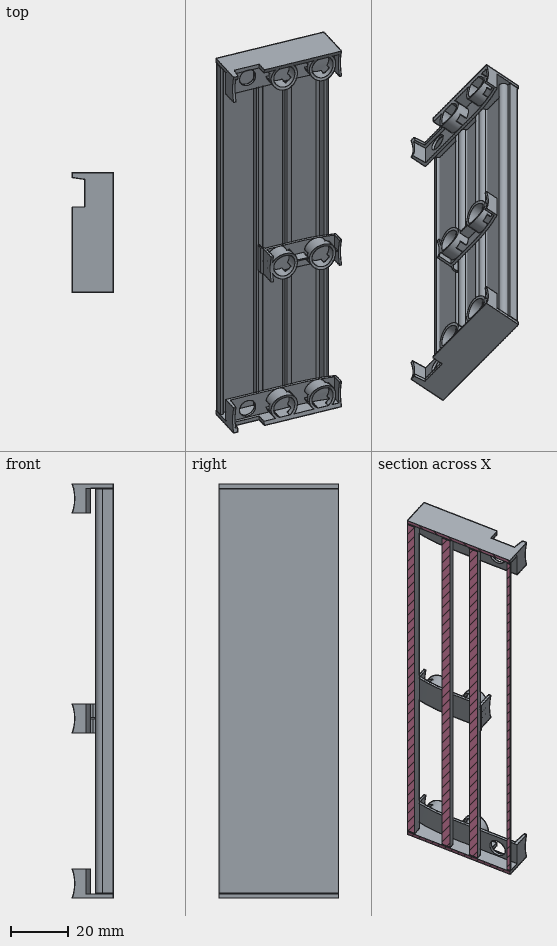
import cadquery as cq
import math

DEPTH = 14.31
WIDTH = 41.45
HEIGHT = 143.5
LEFT = WIDTH / 2
RIGHT = -WIDTH / 2

PANEL_LENGTH = 140.0
FLAT_X = 11.5
BACK_RADIUS = 0.9

LIP_X = 10.5
LIP_WIDTH = 1.1
LIP_FOOT_RADIUS = 0.8

RIDGE_WALL_Y = 7.57
RIDGE_PITCH = 11.0
RIDGE_WALLS = [RIDGE_WALL_Y, RIDGE_WALL_Y - RIDGE_PITCH]
RIDGE_CREST_X = 9.25
RIDGE_LIP_WIDTH = 1.07
RIDGE_LIP_DROP = 0.5
RIDGE_LIP_RADIUS = 1.5
SHOULDER_WIDTH = 2.2
SHOULDER_RADIUS = 1.8
FOOT_RADIUS = 0.6

EDGE_CREST_X = 8.1
EDGE_WALL_Y = -17.75
EDGE_RADIUS = 1.9
GUTTER_WIDTH = 1.45
GUTTER_DEPTH = 0.2

CLIP_HEIGHT = 10.1
END_THICKNESS = 1.5
TUBE_RADIUS = 15.0
TUBE_BITE = TUBE_RADIUS - math.sqrt(TUBE_RADIUS**2 - CLIP_HEIGHT**2 / 4)
MIDDLE_CLIP_Z = -9.5

PLATE_FRONT_X = 5.4
PLATE_BACK_X = 6.4
BEND_START_Y = -7.1
BEND_RISE = 1.65
BEND_RUN = BEND_START_Y - RIGHT
BEND_RADIUS = (BEND_RUN**2 + BEND_RISE**2) / (2 * BEND_RISE)
WALL_THICKNESS = 0.8

BOSS_BORE = 8.09
BOSS_DIAMETER = CLIP_HEIGHT
BOSS_SPACING = 14.7
FIRST_BOSS_Y = 0.87
BOSS_YS = [FIRST_BOSS_Y, FIRST_BOSS_Y - BOSS_SPACING]
WINDOW_WIDTH = 2.7
WINDOW_FRONT_X = 2.7
WINDOW_ANGLES = [0, 127, -127]

SMALL_HOLE = 6.2
SMALL_HOLE_Y = 12.77

FLANGE_TIP = 0.9
FLANGE_ROOT = 1.5
NOTCH_X = 4.3
NOTCH_BOTTOM_Y = 8.9
NOTCH_TIP = 1.7
NOTCH_ROOT = 2.35
NOTCH_FILLET = 0.4

CLIP_EDGE_Y = 6.3
CLIP_FLANGE = 0.9
RIB_THICKNESS = 0.5
RIB_FRONT_X = 1.6
HOOK_KINK_X = 7.3
HOOK_END_X = 9.3
HOOK_Y = 6.35
HOOK_THICKNESS = 0.6
GUSSET_LENGTH = 1.0
GUSSET_BACK_X = 8.0

DIAGONAL = math.sqrt(0.5)


def box(x0, x1, y0, y1, z0, z1):
    return cq.Workplane("XY").box(x1 - x0, y1 - y0, z1 - z0, centered=False).translate((x0, y0, z0))


def rod(diameter, y, x0, x1):
    """Cylinder along X, centred on z = 0."""
    return cq.Workplane("YZ", origin=(x0, y, 0)).circle(diameter / 2).extrude(x1 - x0)


def add_foot(outline, wall_y, radius):
    """Hollow foot between a wall at wall_y and the flat, walking toward -Y."""
    start_x = FLAT_X - radius
    middle = (start_x + radius * DIAGONAL, wall_y - radius + radius * DIAGONAL)
    return outline.threePointArc(middle, (FLAT_X, wall_y - radius))


def add_ridge(outline, wall_y):
    """Stepped ridge between two flats, walking toward -Y."""
    lip_end = (RIDGE_CREST_X + RIDGE_LIP_DROP, wall_y - RIDGE_LIP_WIDTH)
    shoulder_end = (FLAT_X - FOOT_RADIUS, lip_end[1] - SHOULDER_WIDTH)
    outline = outline.lineTo(FLAT_X, wall_y).lineTo(RIDGE_CREST_X, wall_y)
    outline = outline.radiusArc(lip_end, -RIDGE_LIP_RADIUS).radiusArc(shoulder_end, -SHOULDER_RADIUS)
    return add_foot(outline, shoulder_end[1], FOOT_RADIUS)


def add_edge_ridge(outline):
    """Gutter, steep wall and quarter-round shoulder along the -Y edge."""
    gutter_bottom = (FLAT_X + GUTTER_DEPTH, EDGE_WALL_Y + GUTTER_WIDTH / 2)
    shoulder_middle = (EDGE_CREST_X + EDGE_RADIUS * (1 - DIAGONAL), EDGE_WALL_Y - EDGE_RADIUS * DIAGONAL)
    shoulder_end = (EDGE_CREST_X + EDGE_RADIUS, EDGE_WALL_Y - EDGE_RADIUS)
    return (
        outline.lineTo(FLAT_X, EDGE_WALL_Y + GUTTER_WIDTH)
        .threePointArc(gutter_bottom, (FLAT_X, EDGE_WALL_Y))
        .lineTo(EDGE_CREST_X, EDGE_WALL_Y)
        .threePointArc(shoulder_middle, shoulder_end)
        .lineTo(LIP_X, shoulder_end[1])
    )


def make_panel():
    lip_y = LEFT - LIP_WIDTH
    outline = cq.Workplane("XY", origin=(0, 0, -PANEL_LENGTH / 2))
    outline = outline.moveTo(DEPTH, LEFT).lineTo(LIP_X, LEFT).lineTo(LIP_X, lip_y)
    outline = outline.lineTo(FLAT_X - LIP_FOOT_RADIUS, lip_y)
    outline = add_foot(outline, lip_y, LIP_FOOT_RADIUS)
    for wall_y in RIDGE_WALLS:
        outline = add_ridge(outline, wall_y)
    outline = add_edge_ridge(outline).lineTo(LIP_X, RIGHT).lineTo(DEPTH, RIGHT)
    return outline.close().extrude(PANEL_LENGTH).edges("|Z and >X").fillet(BACK_RADIUS)


def space_before(face_x, edge_y):
    """Everything from x = 0 to a face that is flat, then curves forward toward the -Y edge."""
    half_bend = math.asin(BEND_RUN / BEND_RADIUS) / 2
    bend_middle = (
        face_x - BEND_RADIUS * (1 - math.cos(half_bend)),
        BEND_START_Y - BEND_RADIUS * math.sin(half_bend),
    )
    return (
        cq.Workplane("XY", origin=(0, 0, -CLIP_HEIGHT / 2))
        .moveTo(0, edge_y)
        .lineTo(0, RIGHT)
        .lineTo(face_x - BEND_RISE, RIGHT)
        .threePointArc(bend_middle, (face_x, BEND_START_Y))
        .lineTo(face_x, edge_y)
        .close()
        .extrude(CLIP_HEIGHT)
    )


def plate(edge_y):
    """Flat plate that curves forward toward the -Y edge."""
    return space_before(PLATE_BACK_X, edge_y).cut(space_before(PLATE_FRONT_X, edge_y))


def side_wall():
    half = CLIP_HEIGHT / 2
    return box(0, PLATE_BACK_X - BEND_RISE, RIGHT, RIGHT + WALL_THICKNESS, -half, half)


def flange(edge_y, tip, root):
    """Wall along the +Y edge, from the contact edge to the back of the plate."""
    return (
        cq.Workplane("XY", origin=(0, 0, -CLIP_HEIGHT / 2))
        .polyline([(0, edge_y), (0, edge_y - tip), (PLATE_BACK_X, edge_y - root), (PLATE_BACK_X, edge_y)])
        .close()
        .extrude(CLIP_HEIGHT)
    )


def boss_window(y, angle):
    """Radial opening through one side of a boss wall, next to the plate."""
    half = WINDOW_WIDTH / 2
    window = box(WINDOW_FRONT_X, PLATE_FRONT_X, 0, BOSS_DIAMETER / 2, -half, half)
    return window.rotate((0, 0, 0), (1, 0, 0), angle).translate((0, y, 0))


def add_bosses(body):
    """Fuses the tubular bosses to the plate, then bores them down to the plate."""
    front = space_before(PLATE_FRONT_X, LEFT)
    for y in BOSS_YS:
        body = body.union(rod(BOSS_DIAMETER, y, 0, PLATE_FRONT_X).intersect(front))
    for y in BOSS_YS:
        body = body.cut(rod(BOSS_BORE, y, 0, PLATE_FRONT_X).intersect(front))
        for angle in WINDOW_ANGLES:
            body = body.cut(boss_window(y, angle).intersect(front))
    return body


def tube():
    return cq.Workplane("XZ", origin=(TUBE_BITE - TUBE_RADIUS, LEFT, 0)).circle(TUBE_RADIUS).extrude(WIDTH)


def end_plate():
    top = CLIP_HEIGHT / 2
    sheet = box(0, DEPTH, RIGHT, LEFT, top - END_THICKNESS, top)
    notch = (
        cq.Workplane("XY", origin=(0, 0, top - END_THICKNESS))
        .polyline([(0, NOTCH_BOTTOM_Y), (NOTCH_X, NOTCH_BOTTOM_Y),
                   (NOTCH_X, LEFT - NOTCH_ROOT), (0, LEFT - NOTCH_TIP)])
        .close()
        .extrude(END_THICKNESS)
    )
    front_corner = cq.NearestToPointSelector((0, NOTCH_BOTTOM_Y, top - END_THICKNESS / 2))
    return sheet.cut(notch).edges(front_corner).fillet(NOTCH_FILLET)


def make_top_cap():
    body = plate(LEFT).union(side_wall()).union(flange(LEFT, FLANGE_TIP, FLANGE_ROOT))
    body = add_bosses(body).union(end_plate())
    body = body.cut(rod(SMALL_HOLE, SMALL_HOLE_Y, NOTCH_X, PLATE_BACK_X))
    return body.cut(tube()).translate((0, 0, (HEIGHT - CLIP_HEIGHT) / 2))


def hook():
    return (
        cq.Workplane("XY", origin=(0, 0, -CLIP_HEIGHT / 2))
        .polyline([
            (PLATE_FRONT_X, CLIP_EDGE_Y - CLIP_FLANGE), (PLATE_BACK_X, CLIP_EDGE_Y - CLIP_FLANGE),
            (HOOK_KINK_X, HOOK_Y), (HOOK_END_X, HOOK_Y), (HOOK_END_X, HOOK_Y + HOOK_THICKNESS),
            (HOOK_KINK_X, HOOK_Y + HOOK_THICKNESS), (PLATE_BACK_X, CLIP_EDGE_Y), (PLATE_FRONT_X, CLIP_EDGE_Y),
        ])
        .close()
        .extrude(CLIP_HEIGHT)
    )


def middle_ribs():
    """Thin rib joining the bosses and the side wall, and the gusset behind the plate."""
    half = RIB_THICKNESS / 2
    rib = box(RIB_FRONT_X, PLATE_FRONT_X, RIGHT, BOSS_YS[0], -half, half)
    rib = rib.intersect(space_before(PLATE_FRONT_X, LEFT))
    gusset = box(PLATE_BACK_X, GUSSET_BACK_X, HOOK_Y - GUSSET_LENGTH, HOOK_Y, -half, half)
    return rib, gusset


def make_middle_clip():
    rib, gusset = middle_ribs()
    body = plate(CLIP_EDGE_Y).union(side_wall()).union(flange(CLIP_EDGE_Y, CLIP_FLANGE, CLIP_FLANGE))
    body = add_bosses(body.union(rib)).union(hook()).union(gusset)
    return body.cut(tube()).translate((0, 0, MIDDLE_CLIP_Z))


panel = make_panel()
top_cap = make_top_cap()
bottom_cap = top_cap.mirror("XY")
middle_clip = make_middle_clip()

result = cq.Compound.makeCompound([panel.val(), top_cap.val(), bottom_cap.val(), middle_clip.val()])